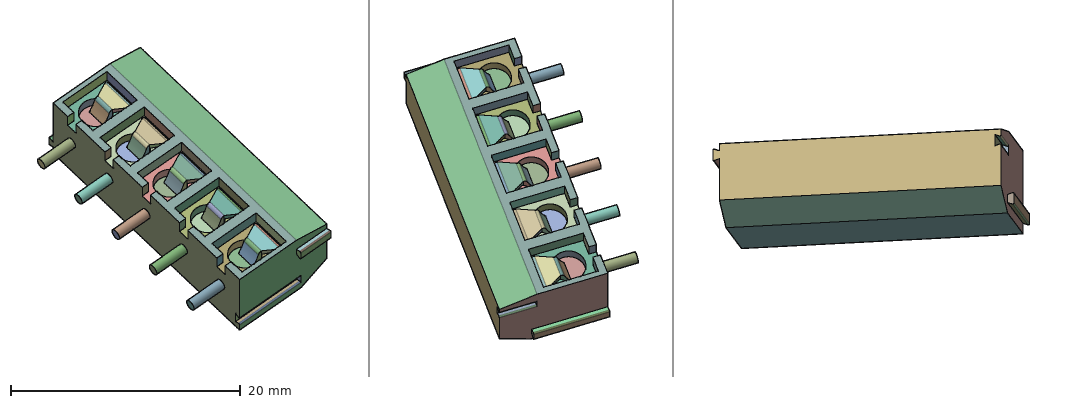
import cadquery as cq


OVERALL_WIDTH = 26.15
CELL_COUNT = 5
BODY_WIDTH = 25.0
PITCH = BODY_WIDTH / CELL_COUNT
BODY_DEPTH = 10.0
BODY_HEIGHT = 7.5
TOP_SLOPE_LENGTH = 3.48
TOP_SLOPE_DROP = 0.7
BOTTOM_SLOPE_LENGTH = 2.95
BOTTOM_SLOPE_RISE = 1.7

POCKET_WIDTH = 4.03
POCKET_FRONT_Y = 0.7
POCKET_BACK_Y = 5.75
POCKET_DEPTH = 1.28
SLOT_WIDTH = 1.1
WIRE_HOLE_DIAMETER = 3.0
WIRE_HOLE_Y = 2.75
WIRE_HOLE_DEPTH = 1.0
POCKET_FLOOR_Z = BODY_HEIGHT - POCKET_DEPTH
HOLE_FLOOR_Z = POCKET_FLOOR_Z - WIRE_HOLE_DEPTH

TONGUE_BACK_Y = 5.65
TONGUE_SHOULDER_Y = 5.3
TONGUE_CREST_Y = 3.82
TONGUE_BEND_END_Y = 3.45
TONGUE_TIP_Y = 2.83
TONGUE_SHOULDER_Z = 6.55
TONGUE_CREST_Z = 6.75
TONGUE_BEND_END_Z = 6.45
TONGUE_BEND_RADIUS = 0.42
TONGUE_BACK_WIDTH = 3.5
TONGUE_TIP_WIDTH = 1.94

PIN_DIAMETER = 1.02
PIN_LENGTH = 3.5
PIN_Z = 4.2

LOWER_JOINT_Z = 1.3
LOWER_JOINT_LENGTH = 7.0
UPPER_JOINT_Z = 5.8
UPPER_JOINT_LENGTH = TOP_SLOPE_LENGTH
RAIL_ROOT_WIDTH = 0.73
RAIL_END_WIDTH = 1.12
LEFT_RAIL_HEIGHT = 0.58
RIGHT_RAIL_HEIGHT = OVERALL_WIDTH - BODY_WIDTH - LEFT_RAIL_HEIGHT
GROOVE_DEPTH = 0.55
LOWER_GROOVE_MOUTH_WIDTH = 0.75
LOWER_GROOVE_FLOOR_WIDTH = 1.2
UPPER_GROOVE_MOUTH_WIDTH = 0.6
UPPER_GROOVE_FLOOR_WIDTH = 1.05
JOINT_EDGE_RADIUS = 0.1


def box(x_min, x_max, y_min, y_max, z_min, z_max):
    size = (x_max - x_min, y_max - y_min, z_max - z_min)
    return cq.Workplane("XY").box(*size, centered=False).translate((x_min, y_min, z_min))


def make_body():
    return (
        cq.Workplane("YZ")
        .moveTo(0, 0)
        .lineTo(BODY_DEPTH - BOTTOM_SLOPE_LENGTH, 0)
        .lineTo(BODY_DEPTH, BOTTOM_SLOPE_RISE)
        .lineTo(BODY_DEPTH, BODY_HEIGHT - TOP_SLOPE_DROP)
        .lineTo(BODY_DEPTH - TOP_SLOPE_LENGTH, BODY_HEIGHT)
        .lineTo(0, BODY_HEIGHT)
        .close()
        .extrude(BODY_WIDTH)
    )


def make_pocket(x):
    """Pocket with a front slot and a blind wire hole in its floor."""
    half_width = POCKET_WIDTH / 2
    half_slot = SLOT_WIDTH / 2
    pocket = box(x - half_width, x + half_width, POCKET_FRONT_Y, POCKET_BACK_Y, POCKET_FLOOR_Z, BODY_HEIGHT)
    slot = box(x - half_slot, x + half_slot, 0, POCKET_FRONT_Y, POCKET_FLOOR_Z, BODY_HEIGHT)
    hole = (
        cq.Workplane("XY", origin=(x, WIRE_HOLE_Y, HOLE_FLOOR_Z))
        .circle(WIRE_HOLE_DIAMETER / 2)
        .extrude(WIRE_HOLE_DEPTH)
    )
    return pocket.union(slot).union(hole)


def make_tongue(x):
    """Bent tongue that rises from the pocket's back, narrows and dips into the wire hole."""
    side = (
        cq.Workplane("YZ", origin=(x - TONGUE_BACK_WIDTH / 2, 0, 0))
        .moveTo(TONGUE_BACK_Y, HOLE_FLOOR_Z)
        .lineTo(TONGUE_BACK_Y, POCKET_FLOOR_Z)
        .radiusArc((TONGUE_SHOULDER_Y, TONGUE_SHOULDER_Z), -TONGUE_BEND_RADIUS)
        .lineTo(TONGUE_CREST_Y, TONGUE_CREST_Z)
        .radiusArc((TONGUE_BEND_END_Y, TONGUE_BEND_END_Z), -TONGUE_BEND_RADIUS)
        .tangentArcPoint((TONGUE_TIP_Y, HOLE_FLOOR_Z), relative=False)
        .close()
        .extrude(TONGUE_BACK_WIDTH)
    )
    half_back = TONGUE_BACK_WIDTH / 2
    half_tip = TONGUE_TIP_WIDTH / 2
    plan = (
        cq.Workplane("XY", origin=(x, 0, 0))
        .moveTo(-half_back, TONGUE_BACK_Y)
        .lineTo(-half_back, TONGUE_SHOULDER_Y)
        .lineTo(-half_tip, TONGUE_CREST_Y)
        .lineTo(-half_tip, TONGUE_TIP_Y)
        .lineTo(half_tip, TONGUE_TIP_Y)
        .lineTo(half_tip, TONGUE_CREST_Y)
        .lineTo(half_back, TONGUE_SHOULDER_Y)
        .lineTo(half_back, TONGUE_BACK_Y)
        .close()
        .extrude(BODY_HEIGHT)
    )
    return side.intersect(plan)


def make_pin(x):
    return (
        cq.Workplane("XZ", origin=(x, 0, PIN_Z))
        .circle(PIN_DIAMETER / 2)
        .extrude(PIN_LENGTH)
    )


def make_dovetail(root_x, end_x, z, root_width, end_width, y_min, length):
    """Bar along Y whose width changes from root_width at root_x to end_width at end_x."""
    return (
        cq.Workplane("XZ", origin=(0, y_min, z))
        .moveTo(root_x, -root_width / 2)
        .lineTo(end_x, -end_width / 2)
        .lineTo(end_x, end_width / 2)
        .lineTo(root_x, root_width / 2)
        .close()
        .extrude(-length)
    )


def make_rail(root_x, end_x, z, y_min, length):
    """Dovetail rail with its two outer long edges rounded."""
    rail = make_dovetail(root_x, end_x, z, RAIL_ROOT_WIDTH, RAIL_END_WIDTH, y_min, length)
    outer_side = ">X" if end_x > root_x else "<X"
    return rail.faces(outer_side).edges("|Y").fillet(JOINT_EDGE_RADIUS)


def cut_groove(block, mouth_x, floor_x, z, mouth_width, floor_width, y_min, length):
    """Cut a dovetail groove that takes a rail and round the two edges of its mouth."""
    groove = make_dovetail(mouth_x, floor_x, z, mouth_width, floor_width, y_min, length)
    lips = cq.selectors.BoxSelector(
        (mouth_x - JOINT_EDGE_RADIUS, y_min, z - floor_width / 2),
        (mouth_x + JOINT_EDGE_RADIUS, y_min + length, z + floor_width / 2),
    )
    return block.cut(groove).edges("|Y").edges(lips).fillet(JOINT_EDGE_RADIUS)


upper_joint_y = BODY_DEPTH - UPPER_JOINT_LENGTH

body = make_body()
body = cut_groove(
    body, 0, GROOVE_DEPTH, UPPER_JOINT_Z,
    UPPER_GROOVE_MOUTH_WIDTH, UPPER_GROOVE_FLOOR_WIDTH, upper_joint_y, UPPER_JOINT_LENGTH,
)
body = cut_groove(
    body, BODY_WIDTH, BODY_WIDTH - GROOVE_DEPTH, LOWER_JOINT_Z,
    LOWER_GROOVE_MOUTH_WIDTH, LOWER_GROOVE_FLOOR_WIDTH, 0, LOWER_JOINT_LENGTH,
)
body = body.union(make_rail(0, -LEFT_RAIL_HEIGHT, LOWER_JOINT_Z, 0, LOWER_JOINT_LENGTH))
body = body.union(
    make_rail(BODY_WIDTH, BODY_WIDTH + RIGHT_RAIL_HEIGHT, UPPER_JOINT_Z, upper_joint_y, UPPER_JOINT_LENGTH)
)

for cell in range(CELL_COUNT):
    cell_x = (cell + 0.5) * PITCH
    body = body.cut(make_pocket(cell_x))
    body = body.union(make_tongue(cell_x))
    body = body.union(make_pin(cell_x))

result = body